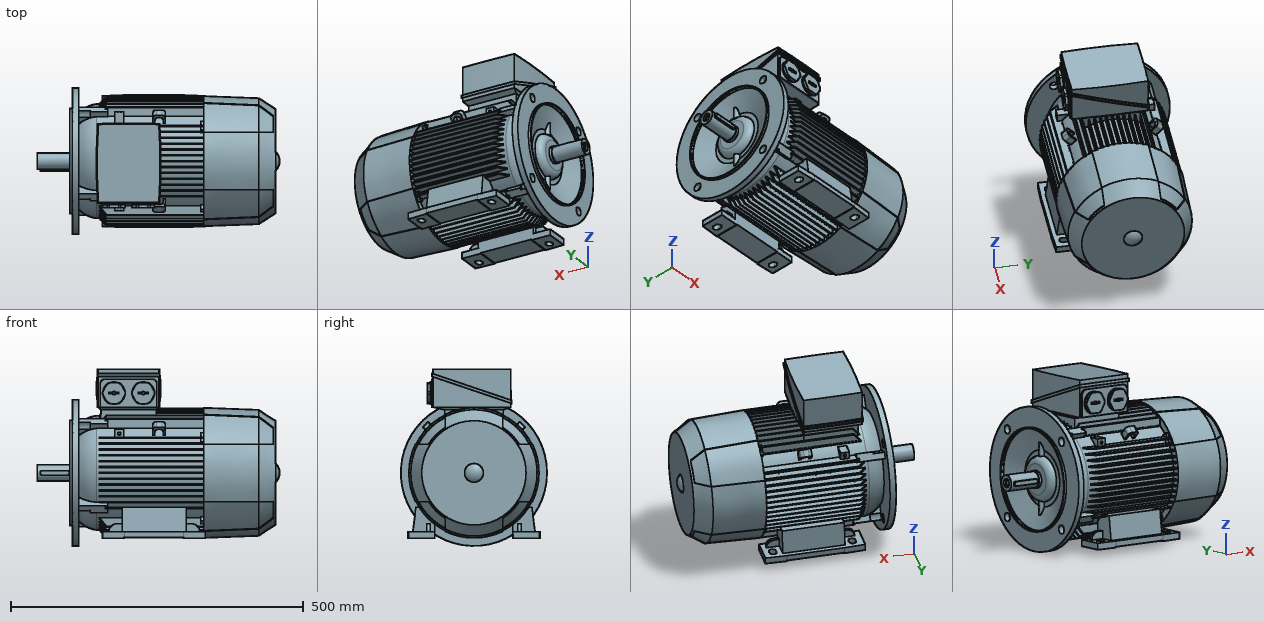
import cadquery as cq
import math

X_AXIS = ((0, 0, 0), (1, 0, 0))
QUARTER_TURN = 90.0
OVERLAP = 2.0

SHAFT_RADIUS = 14.0
SHAFT_LENGTH = 60.0
SHAFT_ROOT_X = 10.0
COLLAR_RADIUS = 15.2
COLLAR_FRONT_X = -1.0
CENTRE_BORE_RADIUS = 5.0
CENTRE_BORE_DEPTH = 22.0
CENTRE_SINK_RADIUS = 7.4
CENTRE_SINK_DEPTH = 4.0
KEY_LENGTH = 50.0
KEY_WIDTH = 8.0
KEY_END_GAP = 5.0
KEY_TOP = 17.0

FLANGE_RADIUS = 125.0
FLANGE_THICKNESS = 11.0
SPIGOT_RADIUS = 90.0
SPIGOT_HEIGHT = 4.5
BOLT_CIRCLE_RADIUS = 107.5
BOLT_HOLE_RADIUS = 7.5
BOLT_CLEARANCE_RADIUS = 15.0
BOLT_CLEARANCE_END_X = 30.5
SHIELD_FOOT_RADIUS = 83.0
SHIELD_MID_X = 22.0
SHIELD_MID_RADIUS = 91.5
BOWL_RIM_RADIUS = 88.0
BOWL_RIM_X = 1.5
BOWL_FLOOR_RADIUS = 49.0
BOWL_FLOOR_X = 17.0
BOSS_RADIUS = 40.0
BOSS_ROUNDING = 13.0
BOWL_RIB_RADIUS = 5.8
BOWL_RIB_REACH = 66.0

FRAME_RADIUS = 97.8
FRAME_START_X = 40.5
FRAME_END_X = 224.5
FIN_TIP_RADIUS = 110.0
FIN_START_X = 46.0
FIN_THICKNESS = 2.0
FIN_PITCH = 10.0
FINS_PER_SIDE = 6

CORNER_ANGLE = 35.0
SHIELD_LUG_WIDTH = 14.5
SHIELD_LUG_TOP = 107.7
SHIELD_LUG_BASE = 74.0
SHIELD_LUG_END_X = 60.0
CLIP_WIDTH = 18.0
CLIP_LENGTH = 5.0
CLIP_TOP = 106.0

EYE_ANGLE = 45.0
EYE_CENTRE_X = 148.0
EYE_LENGTH = 21.0
EYE_THICKNESS = 13.0
EYE_TOP = 117.0
EYE_ROUNDING = 6.0
EYE_SLOT_WIDTH = 14.0
EYE_BAR = 5.0
EARTH_START_X = 72.3
EARTH_LENGTH = 15.3
EARTH_BOTTOM_Z = 60.0
EARTH_TOP_Z = 74.0
EARTH_REACH = 84.3
EARTH_HOLE_RADIUS = 2.5
EARTH_HOLE_DEPTH = 8.0

COWL_RADIUS = 111.2
COWL_WAIST_RADIUS = 107.7
COWL_WAIST_X = 318.0
COWL_END_RADIUS = 89.0
COWL_END_X = 347.0
PANEL_EDGE = 49.0
PANEL_END_X = 343.0
PANEL_DEPTH = 1.0
CAP_RADIUS = 16.0
CAP_HEIGHT = 7.0

FOOT_BOTTOM_Z = -112.0
FOOT_TOP_Z = -100.5
FOOT_START_X = 51.0
FOOT_LENGTH = 176.0
FOOT_INNER_Y = 66.5
FOOT_OUTER_Y = 113.0
FOOT_END_TAPER = 1.5
FOOT_PAD_LENGTH = 37.5
FOOT_RELIEF = 1.3
FOOT_HOLE_X = 70.0
FOOT_HOLE_SPACING = 140.0
FOOT_HOLE_Y = 95.0
FOOT_SLOT_LENGTH = 16.0
FOOT_SLOT_WIDTH = 12.0
PILLAR_START_X = 85.0
PILLAR_LENGTH = 109.5
PILLAR_TOP_Z = -58.5
PILLAR_OUTER_TOP_Y = 99.0
PILLAR_OUTER_BOTTOM_Y = 104.5
WEB_LENGTH = 23.0
WEB_HEIGHT = 13.5
WEB_THICKNESS = 6.0
WEB_OUTER_Y = 80.5

BOX_CENTRE_X = 96.0
BOX_LENGTH = 103.0
BOX_BACK_Y = 62.5
BOX_FRONT_Y = -69.8
BOX_BOTTOM_Z = 112.0
BOX_TOP_Z = 177.0
BOX_SIDE_BULGE = 2.2
BOX_END_BULGE = 0.8
LIP_OVERHANG = 1.6
LIP_THICKNESS = 5.2
LIP_BACK_Z = 121.7
LIP_FRONT_Z = 166.5
NECK_LENGTH = 95.0
NECK_WIDTH = 100.0
NECK_TOP_Z = 107.5
PLATE_LENGTH = 96.5
PLATE_TOP_Z = 160.0
PLATE_ROUNDING = 8.0
PLATE_FACE_Y = -72.3
PLUG_SPACING = 50.0
PLUG_Z = 136.2
PLUG_COLLAR_RADIUS = 19.0
PLUG_COLLAR_HEIGHT = 2.0
PLUG_SIDES = 6
PLUG_ACROSS_FLATS = 36.0
PLUG_CORNER_RADIUS = 19.6
PLUG_FACE_Y = -79.6
PLUG_SLOT_LENGTH = 17.0
PLUG_SLOT_WIDTH = 3.0
PLUG_SLOT_DEPTH = 1.5
PLUG_SLOT_HUB_RADIUS = 2.7


def block(x0, x1, y0, y1, z0, z1):
    """Axis-aligned box given by its limits."""
    return cq.Workplane("XY").box(x1 - x0, y1 - y0, z1 - z0, centered=False).translate((x0, y0, z0))


def rod(radius, x0, x1, y=0.0, z=0.0):
    """Cylinder along X."""
    return cq.Workplane("YZ", origin=(x0, y, z)).circle(radius).extrude(x1 - x0)


def cross_rod(radius, x, z, y0, y1):
    """Cylinder along Y."""
    return cq.Workplane("XZ", origin=(x, y0, z)).circle(radius).extrude(y0 - y1)


def turned(profile):
    """Revolve a closed profile drawn in X and radius about the shaft axis."""
    return profile.close().revolve(360, *X_AXIS)


def around_axis(body, angles):
    """Copies of a body turned about the shaft axis; positive angles go from +Z towards -Y."""
    return [body.rotate(*X_AXIS, angle) for angle in angles]


def join(bodies):
    """Fuse a list of bodies."""
    joined = bodies[0]
    for body in bodies[1:]:
        joined = joined.union(body)
    return joined


def both_sides(body):
    """A body together with its mirror image across the vertical shaft plane."""
    return body.union(body.mirror("XZ"))


def make_end_shield():
    bolt_offset = BOLT_CIRCLE_RADIUS / math.sqrt(2)
    dome = turned(
        cq.Workplane("XY")
        .moveTo(FLANGE_THICKNESS - OVERLAP, 0)
        .lineTo(FLANGE_THICKNESS - OVERLAP, SHIELD_FOOT_RADIUS)
        .lineTo(FLANGE_THICKNESS, SHIELD_FOOT_RADIUS)
        .threePointArc((SHIELD_MID_X, SHIELD_MID_RADIUS), (FRAME_START_X, FRAME_RADIUS))
        .lineTo(FRAME_START_X + OVERLAP, FRAME_RADIUS)
        .lineTo(FRAME_START_X + OVERLAP, 0)
    )
    lug = block(
        FLANGE_THICKNESS - OVERLAP, SHIELD_LUG_END_X,
        -SHIELD_LUG_WIDTH / 2, SHIELD_LUG_WIDTH / 2,
        SHIELD_LUG_BASE, SHIELD_LUG_TOP,
    )
    lugs = join(around_axis(lug, [CORNER_ANGLE + QUARTER_TURN * i for i in range(4)]))
    flange = rod(FLANGE_RADIUS, 0, FLANGE_THICKNESS)
    spigot = rod(SPIGOT_RADIUS, -SPIGOT_HEIGHT, OVERLAP)
    bolt_holes = []
    for side in (-1, 1):
        for level in (-1, 1):
            y = side * bolt_offset
            z = level * bolt_offset
            bolt_holes.append(rod(BOLT_HOLE_RADIUS, -OVERLAP, FLANGE_THICKNESS + OVERLAP, y, z))
            clearance = rod(BOLT_CLEARANCE_RADIUS, FLANGE_THICKNESS, BOLT_CLEARANCE_END_X, y, z)
            lugs = lugs.cut(clearance)
    shield = flange.union(spigot).union(dome).union(lugs).cut(join(bolt_holes))
    return shield.cut(make_bowl()).union(make_bowl_ribs())


def make_bowl():
    """Conical hollow of the shield, leaving a rounded bearing boss in its middle."""
    boss_face_radius = BOSS_RADIUS - BOSS_ROUNDING
    boss_face_x = BOWL_FLOOR_X - BOSS_ROUNDING
    arc_reach = BOSS_ROUNDING * math.sqrt(0.5)
    return turned(
        cq.Workplane("XY")
        .moveTo(-SPIGOT_HEIGHT, 0)
        .lineTo(-SPIGOT_HEIGHT, BOWL_RIM_RADIUS)
        .lineTo(BOWL_RIM_X, BOWL_RIM_RADIUS)
        .lineTo(BOWL_FLOOR_X, BOWL_FLOOR_RADIUS)
        .lineTo(BOWL_FLOOR_X, BOSS_RADIUS)
        .threePointArc(
            (BOWL_FLOOR_X - arc_reach, boss_face_radius + arc_reach),
            (boss_face_x, boss_face_radius),
        )
        .lineTo(boss_face_x, 0)
    )


def make_bowl_ribs():
    """Round ribs above and below the bearing boss, ending in the cone wall."""
    inner = BOSS_RADIUS - BOSS_ROUNDING
    rib = (
        cq.Workplane("XY", origin=(BOWL_FLOOR_X, 0, inner))
        .circle(BOWL_RIB_RADIUS)
        .extrude(BOWL_RIB_REACH - inner)
    )
    return join(around_axis(rib, [0, 2 * QUARTER_TURN]))


def make_shaft():
    tip_x = -SHAFT_LENGTH
    shaft = rod(SHAFT_RADIUS, tip_x, SHAFT_ROOT_X).union(rod(COLLAR_RADIUS, COLLAR_FRONT_X, SHAFT_ROOT_X))
    key = (
        cq.Workplane("XZ", origin=(tip_x + KEY_END_GAP + KEY_LENGTH / 2, 0, 0))
        .slot2D(KEY_LENGTH, KEY_WIDTH)
        .extrude(KEY_TOP)
    )
    bore = rod(CENTRE_BORE_RADIUS, tip_x, tip_x + CENTRE_BORE_DEPTH)
    sink = rod(CENTRE_SINK_RADIUS, tip_x, tip_x + CENTRE_SINK_DEPTH)
    return shaft.union(key).cut(bore).cut(sink)


def make_frame():
    core = rod(FRAME_RADIUS, FRAME_START_X, FRAME_END_X + OVERLAP)
    fin_rise = FIN_TIP_RADIUS - FRAME_RADIUS
    envelope = turned(
        cq.Workplane("XY")
        .moveTo(FIN_START_X, 0)
        .lineTo(FIN_START_X, FRAME_RADIUS)
        .lineTo(FIN_START_X + fin_rise, FIN_TIP_RADIUS)
        .lineTo(FRAME_END_X + OVERLAP, FIN_TIP_RADIUS)
        .lineTo(FRAME_END_X + OVERLAP, 0)
    )
    length = FRAME_END_X - FIN_START_X + OVERLAP
    span = 2 * FIN_TIP_RADIUS
    rows = [(0, FIN_PITCH * i) for i in range(-FINS_PER_SIDE, FINS_PER_SIDE + 1)]
    upright = (
        cq.Workplane("XY", origin=(FIN_START_X + length / 2, 0, 0))
        .pushPoints(rows)
        .box(length, FIN_THICKNESS, span)
    )
    fins = upright.union(upright.rotate(*X_AXIS, QUARTER_TURN)).intersect(envelope)
    return core.union(fins)


def make_clips():
    """Small blocks on the frame that hold the front edge of the cowl."""
    clip = block(
        FRAME_END_X - CLIP_LENGTH, FRAME_END_X + OVERLAP,
        -CLIP_WIDTH / 2, CLIP_WIDTH / 2,
        FRAME_RADIUS - 2 * OVERLAP, CLIP_TOP,
    )
    return join(around_axis(clip, [-CORNER_ANGLE + QUARTER_TURN * i for i in range(4)]))


def make_lifting_eyes():
    base = FRAME_RADIUS - OVERLAP
    half = EYE_LENGTH / 2
    eye = block(
        EYE_CENTRE_X - half, EYE_CENTRE_X + half,
        -EYE_THICKNESS / 2, EYE_THICKNESS / 2,
        base, EYE_TOP,
    )
    eye = eye.edges("|Y and >Z").fillet(EYE_ROUNDING)
    slot_radius = EYE_SLOT_WIDTH / 2
    arch_z = EYE_TOP - EYE_BAR - slot_radius
    arch = cross_rod(slot_radius, EYE_CENTRE_X, arch_z, -EYE_THICKNESS, EYE_THICKNESS)
    opening = block(
        EYE_CENTRE_X - slot_radius, EYE_CENTRE_X + slot_radius,
        -EYE_THICKNESS, EYE_THICKNESS,
        base, arch_z,
    )
    return join(around_axis(eye.cut(arch).cut(opening), [-EYE_ANGLE, EYE_ANGLE]))


def make_earth_terminals():
    end_x = EARTH_START_X + EARTH_LENGTH
    inner_y = OVERLAP - math.sqrt(FRAME_RADIUS**2 - EARTH_TOP_Z**2)
    terminal = block(EARTH_START_X, end_x, -EARTH_REACH, inner_y, EARTH_BOTTOM_Z, EARTH_TOP_Z)
    hole = cross_rod(
        EARTH_HOLE_RADIUS,
        EARTH_START_X + EARTH_LENGTH / 2, (EARTH_BOTTOM_Z + EARTH_TOP_Z) / 2,
        -EARTH_REACH, -EARTH_REACH + EARTH_HOLE_DEPTH,
    )
    return both_sides(terminal.cut(hole))


def cowl_body(shrink, start_x):
    """Solid of the cowl with all its radii reduced by the given amount."""
    return turned(
        cq.Workplane("XY")
        .moveTo(start_x, 0)
        .lineTo(start_x, COWL_RADIUS - shrink)
        .lineTo(COWL_WAIST_X, COWL_WAIST_RADIUS - shrink)
        .lineTo(COWL_END_X, COWL_END_RADIUS - shrink)
        .lineTo(COWL_END_X, 0)
    )


def make_cowl():
    cowl = cowl_body(0, FRAME_END_X)
    corner = block(FRAME_END_X, PANEL_END_X, PANEL_EDGE, COWL_RADIUS, PANEL_EDGE, COWL_RADIUS)
    corners = join(around_axis(corner, [QUARTER_TURN * i for i in range(4)]))
    panels = corners.cut(cowl_body(PANEL_DEPTH, FRAME_END_X))
    sphere_radius = (CAP_RADIUS**2 + CAP_HEIGHT**2) / (2 * CAP_HEIGHT)
    cap_top_x = COWL_END_X + CAP_HEIGHT
    mid_angle = math.asin(CAP_RADIUS / sphere_radius) / 2
    cap_mid = (cap_top_x - sphere_radius * (1 - math.cos(mid_angle)), sphere_radius * math.sin(mid_angle))
    cap = turned(
        cq.Workplane("XY")
        .moveTo(COWL_END_X - OVERLAP, 0)
        .lineTo(COWL_END_X - OVERLAP, CAP_RADIUS)
        .lineTo(COWL_END_X, CAP_RADIUS)
        .threePointArc(cap_mid, (cap_top_x, 0))
    )
    return cowl.cut(panels).union(cap)


def make_feet():
    """One foot on the -Y side, with its pillar and webs, and its mirror image."""
    end_x = FOOT_START_X + FOOT_LENGTH
    pad_end_x = FOOT_START_X + FOOT_PAD_LENGTH
    relief_end_x = end_x - FOOT_PAD_LENGTH
    taper_y = -FOOT_OUTER_Y + FOOT_END_TAPER
    plate = (
        cq.Workplane("XY", origin=(0, 0, FOOT_BOTTOM_Z))
        .moveTo(FOOT_START_X, -FOOT_INNER_Y)
        .lineTo(FOOT_START_X, taper_y)
        .lineTo(pad_end_x, -FOOT_OUTER_Y)
        .lineTo(relief_end_x, -FOOT_OUTER_Y)
        .lineTo(end_x, taper_y)
        .lineTo(end_x, -FOOT_INNER_Y)
        .close()
        .extrude(FOOT_TOP_Z - FOOT_BOTTOM_Z)
    )
    relief = block(
        pad_end_x, relief_end_x, -FOOT_OUTER_Y, -FOOT_INNER_Y,
        FOOT_BOTTOM_Z, FOOT_BOTTOM_Z + FOOT_RELIEF,
    )
    slots = (
        cq.Workplane("XY", origin=(0, 0, FOOT_BOTTOM_Z))
        .pushPoints([(FOOT_HOLE_X, -FOOT_HOLE_Y), (FOOT_HOLE_X + FOOT_HOLE_SPACING, -FOOT_HOLE_Y)])
        .slot2D(FOOT_SLOT_LENGTH, FOOT_SLOT_WIDTH, QUARTER_TURN)
        .extrude(FOOT_TOP_Z - FOOT_BOTTOM_Z)
    )
    pillar = (
        cq.Workplane("YZ", origin=(PILLAR_START_X, 0, 0))
        .moveTo(-FOOT_INNER_Y, FOOT_TOP_Z - OVERLAP)
        .lineTo(-PILLAR_OUTER_BOTTOM_Y, FOOT_TOP_Z - OVERLAP)
        .lineTo(-PILLAR_OUTER_BOTTOM_Y, FOOT_TOP_Z)
        .lineTo(-PILLAR_OUTER_TOP_Y, PILLAR_TOP_Z)
        .lineTo(-FOOT_INNER_Y, PILLAR_TOP_Z)
        .close()
        .extrude(PILLAR_LENGTH)
    )
    web_top = FOOT_TOP_Z + WEB_HEIGHT
    web_start_x = PILLAR_START_X - WEB_LENGTH
    web_end_x = PILLAR_START_X + PILLAR_LENGTH + WEB_LENGTH
    web = block(
        web_start_x, web_end_x,
        -WEB_OUTER_Y, -WEB_OUTER_Y + WEB_THICKNESS,
        FOOT_TOP_Z - OVERLAP, web_top,
    )
    web = web.edges("|Y and >Z").fillet(WEB_HEIGHT)
    return both_sides(plate.cut(relief).cut(slots).union(pillar).union(web))


def box_outline(bottom_z, overhang):
    """Terminal box outline with four slightly bulged walls, widened all round by the overhang."""
    half = BOX_LENGTH / 2 + overhang
    left = BOX_CENTRE_X - half
    right = BOX_CENTRE_X + half
    front = BOX_FRONT_Y - overhang
    back = BOX_BACK_Y + overhang
    middle_y = (front + back) / 2
    return (
        cq.Workplane("XY", origin=(0, 0, bottom_z))
        .moveTo(left, front)
        .threePointArc((BOX_CENTRE_X, front - BOX_END_BULGE), (right, front))
        .threePointArc((right + BOX_SIDE_BULGE, middle_y), (right, back))
        .threePointArc((BOX_CENTRE_X, back + BOX_END_BULGE), (left, back))
        .threePointArc((left - BOX_SIDE_BULGE, middle_y), (left, front))
        .close()
    )


def make_box_lip():
    """Sloping rim where the lid meets the lower half of the terminal box."""
    slope = (LIP_FRONT_Z - LIP_BACK_Z) / (BOX_FRONT_Y - BOX_BACK_Y)
    outer_back = BOX_BACK_Y + 2 * OVERLAP
    outer_front = BOX_FRONT_Y - 2 * OVERLAP
    back_z = LIP_BACK_Z + slope * (outer_back - BOX_BACK_Y)
    front_z = LIP_FRONT_Z + slope * (outer_front - BOX_FRONT_Y)
    half = LIP_THICKNESS / 2
    slab = (
        cq.Workplane("YZ")
        .polyline([
            (outer_back, back_z - half),
            (outer_back, back_z + half),
            (outer_front, front_z + half),
            (outer_front, front_z - half),
        ])
        .close()
        .extrude(BOX_CENTRE_X + BOX_LENGTH)
    )
    return slab.intersect(box_outline(BOX_BOTTOM_Z, LIP_OVERHANG).extrude(BOX_TOP_Z - BOX_BOTTOM_Z))


def make_plug(x):
    """Hexagonal screw plug with rounded corners and a screwdriver slot."""
    collar_y = PLATE_FACE_Y - PLUG_COLLAR_HEIGHT
    collar = cross_rod(PLUG_COLLAR_RADIUS, x, PLUG_Z, PLATE_FACE_Y + OVERLAP, collar_y)
    across_corners = PLUG_ACROSS_FLATS / math.cos(math.pi / PLUG_SIDES)
    head = (
        cq.Workplane("XZ", origin=(x, collar_y, PLUG_Z))
        .polygon(PLUG_SIDES, across_corners)
        .extrude(collar_y - PLUG_FACE_Y)
        .intersect(cross_rod(PLUG_CORNER_RADIUS, x, PLUG_Z, collar_y, PLUG_FACE_Y))
    )
    slot_floor_y = PLUG_FACE_Y + PLUG_SLOT_DEPTH
    slot = block(
        x - PLUG_SLOT_LENGTH / 2, x + PLUG_SLOT_LENGTH / 2,
        PLUG_FACE_Y, slot_floor_y,
        PLUG_Z - PLUG_SLOT_WIDTH / 2, PLUG_Z + PLUG_SLOT_WIDTH / 2,
    )
    hub = cross_rod(PLUG_SLOT_HUB_RADIUS, x, PLUG_Z, slot_floor_y, PLUG_FACE_Y)
    return collar.union(head).cut(slot).cut(hub)


def make_terminal_box():
    box = box_outline(BOX_BOTTOM_Z, 0).extrude(BOX_TOP_Z - BOX_BOTTOM_Z).union(make_box_lip())
    box_middle_y = (BOX_FRONT_Y + BOX_BACK_Y) / 2
    funnel = (
        cq.Workplane("XY", origin=(BOX_CENTRE_X, 0, NECK_TOP_Z))
        .rect(NECK_LENGTH, NECK_WIDTH)
        .workplane(offset=BOX_BOTTOM_Z - NECK_TOP_Z)
        .center(0, box_middle_y)
        .rect(BOX_LENGTH, BOX_BACK_Y - BOX_FRONT_Y)
        .loft(ruled=True)
    )
    neck_bottom_z = FRAME_RADIUS * math.cos(math.asin(NECK_WIDTH / 2 / FRAME_RADIUS)) - OVERLAP
    neck = block(
        BOX_CENTRE_X - NECK_LENGTH / 2, BOX_CENTRE_X + NECK_LENGTH / 2,
        -NECK_WIDTH / 2, NECK_WIDTH / 2,
        neck_bottom_z, NECK_TOP_Z,
    )
    plate = block(
        BOX_CENTRE_X - PLATE_LENGTH / 2, BOX_CENTRE_X + PLATE_LENGTH / 2,
        PLATE_FACE_Y, BOX_FRONT_Y + OVERLAP,
        BOX_BOTTOM_Z, PLATE_TOP_Z,
    )
    plate = plate.edges("|Y and >Z").fillet(PLATE_ROUNDING)
    plugs = [make_plug(BOX_CENTRE_X + side * PLUG_SPACING / 2) for side in (-1, 1)]
    return join([box, funnel, neck, plate] + plugs)


result = join([
    make_frame(),
    make_end_shield(),
    make_shaft(),
    make_cowl(),
    make_clips(),
    make_lifting_eyes(),
    make_earth_terminals(),
    make_feet(),
    make_terminal_box(),
])